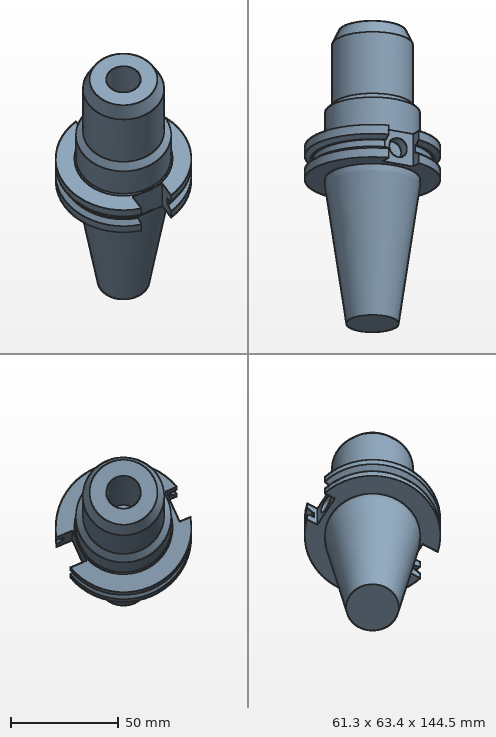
import cadquery as cq

total_height = 144.5
gauge_height = 68.2
flange_bottom = 71.4
flange_thickness = 16.0
nose_cone_height = 6.6
shoulder_top = 107.3
shoulder_height = 3.0

taper_small_diameter = 24.5
gauge_diameter = 44.5
flange_diameter = 63.4
collar_diameter = 44.5
nose_diameter = 38.0
nose_tip_diameter = 31.6

root_bevel_width = 0.7
root_bevel_height = 0.7

groove_floor_diameter = 56.2
groove_floor_width = 3.6
groove_mouth_width = 7.1
groove_slope_end_diameter = 58.0

slot_width = 16.0
left_slot_floor = 25.1
right_slot_floor = 22.5

bore_diameter = 16.0
bore_depth = 47.7
coding_hole_diameter = 9.4
coding_hole_depth = 5.8

flange_top = flange_bottom + flange_thickness
flange_middle = flange_bottom + flange_thickness / 2


def turned_body():
    """Taper, flange, collar and nose as one revolved half-profile."""
    flange_radius = flange_diameter / 2
    groove_radius = groove_floor_diameter / 2
    slope_end_radius = groove_slope_end_diameter / 2
    collar_radius = collar_diameter / 2
    gauge_radius = gauge_diameter / 2
    half_mouth = groove_mouth_width / 2
    half_floor = groove_floor_width / 2
    profile = [
        (0, 0),
        (taper_small_diameter / 2, 0),
        (gauge_radius, gauge_height),
        (gauge_radius, flange_bottom),
        (flange_radius, flange_bottom),
        (flange_radius, flange_middle - half_mouth),
        (slope_end_radius, flange_middle - half_floor),
        (groove_radius, flange_middle - half_floor),
        (groove_radius, flange_middle + half_floor),
        (slope_end_radius, flange_middle + half_floor),
        (flange_radius, flange_middle + half_mouth),
        (flange_radius, flange_top),
        (collar_radius + root_bevel_width, flange_top),
        (collar_radius, flange_top + root_bevel_height),
        (collar_radius, shoulder_top - shoulder_height),
        (nose_diameter / 2, shoulder_top),
        (nose_diameter / 2, total_height - nose_cone_height),
        (nose_tip_diameter / 2, total_height),
        (0, total_height),
    ]
    return cq.Workplane("XZ").polyline(profile).close().revolve(360, (0, 0, 0), (0, 1, 0))


def drive_slot(side, floor):
    """Cutter for a slot open to the rim; side is +1 for +X and -1 for -X."""
    center_x = side * (floor + flange_diameter / 2)
    return (
        cq.Workplane("XY", origin=(center_x, 0, flange_bottom))
        .rect(flange_diameter, slot_width)
        .extrude(flange_thickness)
    )


def tool_bore():
    """Cutter for the blind bore in the nose."""
    return (
        cq.Workplane("XY", origin=(0, 0, total_height - bore_depth))
        .circle(bore_diameter / 2)
        .extrude(bore_depth)
    )


def coding_hole():
    """Cutter for the blind radial hole in the floor of the -X slot."""
    return (
        cq.Workplane("YZ", origin=(-left_slot_floor, 0, flange_middle))
        .circle(coding_hole_diameter / 2)
        .extrude(coding_hole_depth)
    )


result = (
    turned_body()
    .cut(drive_slot(-1, left_slot_floor))
    .cut(drive_slot(1, right_slot_floor))
    .cut(tool_bore())
    .cut(coding_hole())
)